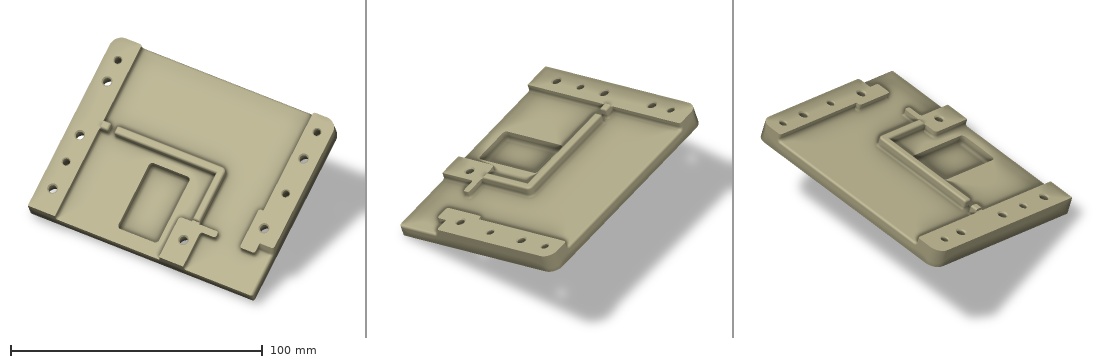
import cadquery as cq
import math


WIDTH = 100.0
LENGTH = 79.87
THICKNESS = 8.0
TILT_DEG = 20.0
BACK_CORNER_RADIUS = 5.0

RECESS_DEPTH = 3.0
FLOOR = THICKNESS - RECESS_DEPTH
BASE_FILLET = 1.0
EDGE_ROUND = 1.0
CORNER_RADIUS = 1.0

LEFT_RAIL_WIDTH = 12.1

RIGHT_RAIL_INNER = 88.9
FOOT_INNER = 87.0
FOOT_OUTER = 93.7
FOOT_FRONT = 16.1
FOOT_BACK = 34.0
STEP_FRONT = 19.0
STEP_SLOPE_DEG = 30.0
STEP_RUN = RECESS_DEPTH * math.tan(math.radians(STEP_SLOPE_DEG))

BOSS_LEFT = 58.7
BOSS_RIGHT = 69.55
BOSS_BACK = 18.9
EAR_RIGHT = 76.2
EAR_FRONT = 16.1
EAR_RADIUS = 0.9
BOSS_CORNER_RADIUS = 1.5

RIB_BAR_WIDTH = 3.5
RIB_LEG_WIDTH = 3.2
RIB_TOP = 9.25
RIB_BAR_CENTRE = 42.7
RIB_BAR_FRONT = RIB_BAR_CENTRE - RIB_BAR_WIDTH / 2
RIB_BAR_BACK = RIB_BAR_CENTRE + RIB_BAR_WIDTH / 2
RIB_LEG_CENTRE = 65.95
RIB_CORNER_RADIUS = 2.0
RIB_TOP_FILLET = 0.9
RIB_NOTCH_RADIUS = 0.7
RIB_END_OVERLAP = 0.5
RAIL_LAND = 0.5
BOSS_LAND = 0.7
NOTCH_CENTRE = 17.3
NOTCH_WIDTH = 2.7

POCKET_LEFT = 36.5
POCKET_RIGHT = 54.6
POCKET_FRONT = 6.0
POCKET_BACK = 36.6
POCKET_DEPTH = 4.2
POCKET_RADIUS = 1.5

SCREW_DIAMETER = 3.3
SCREW_MOUTH_DIAMETER = 4.4
COUNTERBORE_DIAMETER = 6.5
COUNTERBORE_DEPTH = 5.0
SCREW_HOLES = [(6.0, 10.4), (6.0, 35.3), (6.0, 60.3), (94.0, 60.3), (92.5, 27.2), (64.6, 10.4)]
BLIND_DIAMETER = 2.9
BLIND_MOUTH_DIAMETER = 3.7
BLIND_DEPTH = 6.0
BLIND_HOLES = [(6.0, 22.9), (6.0, 70.2), (94.0, 72.6), (94.0, 44.0)]

TOLERANCE = 1e-3


def block(x_min, x_max, y_min, y_max, z_min, z_max):
    size = (x_max - x_min, y_max - y_min, z_max - z_min)
    return cq.Workplane("XY").box(*size, centered=False).translate((x_min, y_min, z_min))


def near(a, b):
    return abs(a - b) < TOLERANCE


def round_corners(body, corners, radius):
    """Fillet the upright edges that stand at the given plan corners."""
    def at_corner(edge):
        centre = edge.Center()
        return any(near(centre.x, x) and near(centre.y, y) for x, y in corners)

    edges = [edge for edge in body.edges("|Z").vals() if at_corner(edge)]
    return body.newObject(edges).fillet(radius)


def raised(points):
    """Extrude a plan outline from the bottom of the plate to its top."""
    return cq.Workplane("XY").polyline(points).close().extrude(THICKNESS)


def make_right_rail():
    step_back = STEP_FRONT + STEP_RUN
    rail = raised([
        (WIDTH, LENGTH),
        (RIGHT_RAIL_INNER, LENGTH),
        (RIGHT_RAIL_INNER, FOOT_BACK),
        (FOOT_INNER, FOOT_BACK),
        (FOOT_INNER, FOOT_FRONT),
        (FOOT_OUTER, FOOT_FRONT),
        (FOOT_OUTER, STEP_FRONT),
        (WIDTH, STEP_FRONT),
    ])
    rail = round_corners(rail, [(FOOT_INNER, FOOT_BACK)], CORNER_RADIUS)
    rail = round_corners(rail, [(FOOT_INNER, FOOT_FRONT), (FOOT_OUTER, FOOT_FRONT)], CORNER_RADIUS)
    slope = (
        cq.Workplane("YZ")
        .polyline([(STEP_FRONT, FLOOR), (step_back, THICKNESS), (STEP_FRONT, THICKNESS)])
        .close()
        .extrude(WIDTH - FOOT_OUTER)
        .translate((FOOT_OUTER, 0, 0))
    )
    return rail.cut(slope)


def make_boss():
    boss = raised([
        (BOSS_LEFT, 0),
        (BOSS_RIGHT, 0),
        (BOSS_RIGHT, EAR_FRONT),
        (EAR_RIGHT, EAR_FRONT),
        (EAR_RIGHT, BOSS_BACK),
        (BOSS_LEFT, BOSS_BACK),
    ])
    boss = round_corners(boss, [(BOSS_LEFT, BOSS_BACK)], BOSS_CORNER_RADIUS)
    boss = round_corners(boss, [(BOSS_RIGHT, EAR_FRONT)], CORNER_RADIUS)
    return round_corners(boss, [(EAR_RIGHT, EAR_FRONT), (EAR_RIGHT, BOSS_BACK)], EAR_RADIUS)


def rib_run(bar_start, leg_end, top):
    """L-shaped run of the rib, up to the given height."""
    leg_left = RIB_LEG_CENTRE - RIB_LEG_WIDTH / 2
    leg_right = RIB_LEG_CENTRE + RIB_LEG_WIDTH / 2
    outline = [
        (bar_start, RIB_BAR_BACK),
        (leg_right, RIB_BAR_BACK),
        (leg_right, leg_end),
        (leg_left, leg_end),
        (leg_left, RIB_BAR_FRONT),
        (bar_start, RIB_BAR_FRONT),
    ]
    run = cq.Workplane("XY").polyline(outline).close().extrude(top)
    return round_corners(run, [(leg_right, RIB_BAR_BACK)], RIB_CORNER_RADIUS)


def make_rib():
    base = rib_run(LEFT_RAIL_WIDTH - RIB_END_OVERLAP, BOSS_BACK - RIB_END_OVERLAP, THICKNESS)
    bar_start = LEFT_RAIL_WIDTH + RAIL_LAND
    crest = rib_run(bar_start, BOSS_BACK + BOSS_LAND, RIB_TOP)
    rib = base.union(crest)
    notch_left = NOTCH_CENTRE - NOTCH_WIDTH / 2
    notch_right = NOTCH_CENTRE + NOTCH_WIDTH / 2
    notch = block(notch_left, notch_right, 0, LENGTH, FLOOR, 2 * RIB_TOP)
    rib = rib.cut(notch)
    notch_corners = [(x, y) for x in (notch_left, notch_right) for y in (RIB_BAR_FRONT, RIB_BAR_BACK)]
    rib = round_corners(rib, notch_corners, RIB_NOTCH_RADIUS)
    top_edges = [
        edge
        for edge in rib.faces(">Z").edges().vals()
        if not near(edge.Center().x, bar_start)
    ]
    return rib.newObject(top_edges).fillet(RIB_TOP_FILLET)


def is_base_edge(edge):
    """True for edges at floor level that do not lie on the outside of the plate."""
    box = edge.BoundingBox()
    if not (near(box.zmin, FLOOR) and near(box.zmax, FLOOR)):
        return False
    on_end = near(box.ymax, 0) or near(box.ymin, LENGTH)
    on_side = near(box.xmin, WIDTH)
    return not (on_end or on_side)


def is_back_opening_edge(edge):
    """True for the edges where the recess runs out through the back of the plate."""
    centre = edge.Center()
    on_back = near(centre.y, LENGTH)
    in_opening = LEFT_RAIL_WIDTH - TOLERANCE < centre.x < RIGHT_RAIL_INNER + TOLERANCE
    in_thickness = TOLERANCE < centre.z < THICKNESS - TOLERANCE
    return on_back and in_opening and in_thickness


def is_right_front_edge(edge):
    """True for the edges from the right rail's step, along the floor and down the front corner."""
    centre = edge.Center()
    on_side = near(centre.x, WIDTH)
    in_front_of_rail = centre.y < STEP_FRONT + STEP_RUN
    return on_side and in_front_of_rail and centre.z > TOLERANCE


def fillet_where(body, condition, radius):
    """Fillet every edge of the body that meets the condition."""
    return body.newObject([edge for edge in body.edges().vals() if condition(edge)]).fillet(radius)


def cut_pocket(body):
    pocket = block(POCKET_LEFT, POCKET_RIGHT, POCKET_FRONT, POCKET_BACK, FLOOR - POCKET_DEPTH, FLOOR)
    pocket = pocket.edges("|Z or <Z").fillet(POCKET_RADIUS)
    return body.cut(pocket)


def cut_holes(body, places, diameter, mouth_diameter, depth):
    chamfer = (mouth_diameter - diameter) / 2
    radius = diameter / 2
    half_profile = [
        (0, THICKNESS),
        (mouth_diameter / 2, THICKNESS),
        (radius, THICKNESS - chamfer),
        (radius, THICKNESS - depth),
        (0, THICKNESS - depth),
    ]
    drill = cq.Workplane("XZ").polyline(half_profile).close().revolve(360, (0, 0), (0, 1))
    for x, y in places:
        body = body.cut(drill.translate((x, y, 0)))
    return body


def cut_counterbores(body):
    for x, y in SCREW_HOLES:
        bore = cq.Workplane("XY").circle(COUNTERBORE_DIAMETER / 2).extrude(COUNTERBORE_DEPTH)
        body = body.cut(bore.translate((x, y, 0)))
    return body


body = block(0, WIDTH, 0, LENGTH, 0, FLOOR)
body = body.union(block(0, LEFT_RAIL_WIDTH, 0, LENGTH, 0, THICKNESS))
body = body.union(make_right_rail()).union(make_boss()).union(make_rib())
body = round_corners(body, [(0, LENGTH), (WIDTH, LENGTH)], BACK_CORNER_RADIUS)
body = fillet_where(body, is_base_edge, BASE_FILLET)
body = fillet_where(body, is_back_opening_edge, EDGE_ROUND)
body = fillet_where(body, is_right_front_edge, EDGE_ROUND)
body = cut_pocket(body)
body = cut_holes(body, SCREW_HOLES, SCREW_DIAMETER, SCREW_MOUTH_DIAMETER, THICKNESS)
body = cut_counterbores(body)
body = cut_holes(body, BLIND_HOLES, BLIND_DIAMETER, BLIND_MOUTH_DIAMETER, BLIND_DEPTH)

result = body.rotate((0, 0, 0), (1, 0, 0), TILT_DEG)